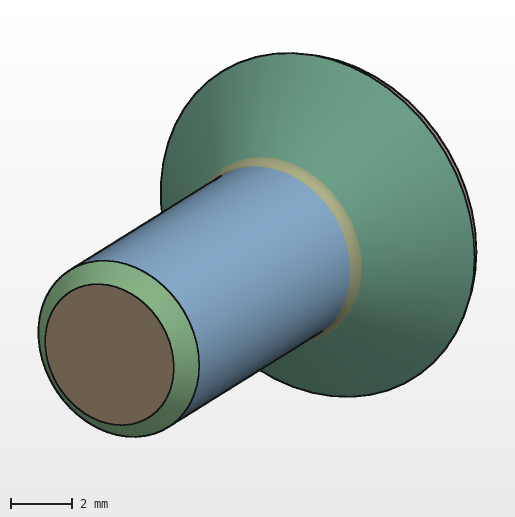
import cadquery as cq
import math

length = 14.0
shank_radius = 6.0 / 2
head_radius = 11.72 / 2
rim_height = 0.45
rim_inset = 0.18
tip_chamfer = 0.6
neck_fillet = 0.6
cone_angle = math.radians(45)

neck_radius = shank_radius + neck_fillet * (1 - math.cos(cone_angle))
cone_end = -rim_height - (head_radius - neck_radius) / math.tan(cone_angle)
neck_end = cone_end - neck_fillet * math.sin(cone_angle)
half_angle = cone_angle / 2
neck_middle = (
    shank_radius + neck_fillet * (1 - math.cos(half_angle)),
    neck_end + neck_fillet * math.sin(half_angle),
)

profile = (
    cq.Workplane("XY")
    .lineTo(head_radius - rim_inset, 0)
    .lineTo(head_radius, -rim_height)
    .lineTo(neck_radius, cone_end)
    .threePointArc(neck_middle, (shank_radius, neck_end))
    .lineTo(shank_radius, tip_chamfer - length)
    .lineTo(shank_radius - tip_chamfer, -length)
    .lineTo(0, -length)
    .close()
)

result = profile.revolve(360, (0, 0, 0), (0, 1, 0))